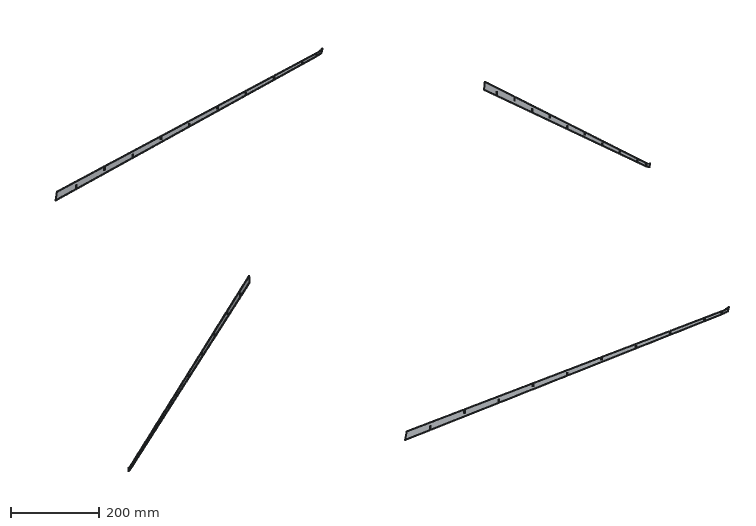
import cadquery as cq

thickness = 1.0
length = 944.99
height = 58.28
y_front = -length / 2
y_rear = length / 2
z_bottom = -height / 2
z_top = height / 2

top_slope = 0.037
top_mid_z = 8.04
bottom_slope = 0.0499
bottom_mid_z = z_bottom - bottom_slope * y_front
front_lean = 4.7

top_kink_y = 459.5
bottom_kink_y = 451.0
tail_end_height = 9.7
tail_lean = 3.0

slot_width = 3.0
slot_pitch = 100.0
middle_slot_y = 1.0
slots_each_side = 4
tail_slot_y = middle_slot_y + (slots_each_side + 0.5) * slot_pitch


def top_z(y):
    """Height of the upper edge of the main strip."""
    return top_mid_z + top_slope * y


def bottom_z(y):
    """Height of the lower edge of the main strip."""
    return bottom_mid_z + bottom_slope * y


def make_strip():
    """Flat tapered strip with its kinked tail, centred on the YZ plane."""
    y_front_top = y_front + front_lean
    outline = [
        (y_front, z_bottom),
        (bottom_kink_y, bottom_z(bottom_kink_y)),
        (y_rear - tail_lean, z_top - tail_end_height),
        (y_rear, z_top),
        (top_kink_y, top_z(top_kink_y)),
        (y_front_top, top_z(y_front_top)),
    ]
    strip = cq.Workplane("YZ").polyline(outline).close().extrude(thickness)
    return strip.translate((-thickness / 2, 0, 0))


def make_slot(y, from_top):
    """Cutter reaching from the middle of the strip out past one edge."""
    middle = (top_z(y) + bottom_z(y)) / 2
    depth = top_z(y) - bottom_z(y)
    direction = 1 if from_top else -1
    cutter = cq.Workplane("XY").box(2 * thickness, slot_width, depth)
    return cutter.translate((0, y, middle + direction * depth / 2))


def cut_slots(strip):
    """Cut the evenly spaced alternating slots and the extra one by the tail."""
    for index in range(-slots_each_side, slots_each_side + 1):
        slot_y = middle_slot_y + index * slot_pitch
        strip = strip.cut(make_slot(slot_y, from_top=index % 2 == 1))
    return strip.cut(make_slot(tail_slot_y, from_top=True))


result = cut_slots(make_strip())